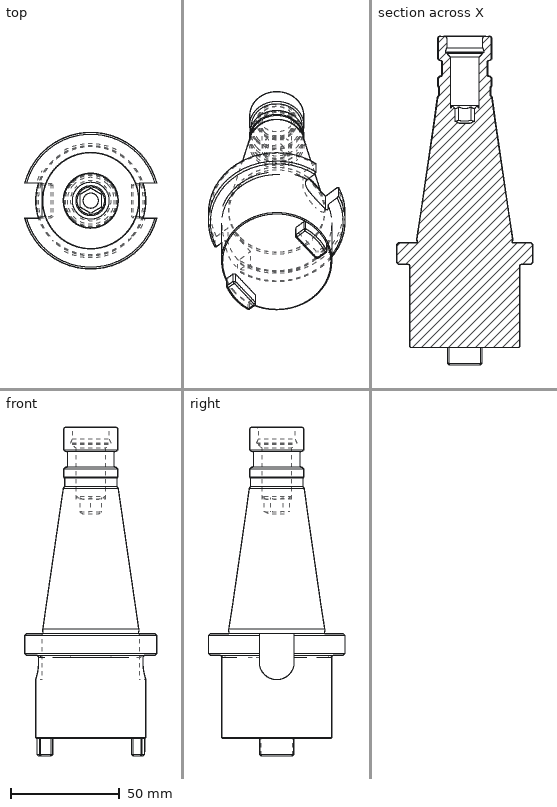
import cadquery as cq
import math


GAUGE_RADIUS = 44.45 / 2
TAPER_SLOPE = 7 / 48
TAPER_TOP_Z = 65.2
TAPER_SMALL_RADIUS = GAUGE_RADIUS - TAPER_SLOPE * TAPER_TOP_Z
GAUGE_BAND_TOP_Z = 0.6
GAUGE_BAND_BOTTOM_Z = -0.4
GAUGE_RELIEF = 0.2
GAUGE_RELIEF_HEIGHT = 0.7

TOP_Z = 93.4
COLLAR_RADIUS = 12.5
TOP_COLLAR_BOTTOM_Z = 82.2
TOP_EDGE_FILLET = 1.0
COLLAR_CHAMFER = 0.8
GROOVE_NECK_RADIUS = 10.8
GROOVE_NECK_FILLET = 0.4
LOWER_COLLAR_TOP_Z = 75.0
LOWER_COLLAR_BOTTOM_Z = 70.0
LOWER_COLLAR_CHAMFER = 0.4
LOWER_NECK_RADIUS = 12.1
LOWER_NECK_BEVEL_HEIGHT = 0.9

FLANGE_RADIUS = 31.5
FLANGE_TOP_Z = -1.6
FLANGE_THICKNESS = 10.0
FLANGE_BOTTOM_Z = FLANGE_TOP_Z - FLANGE_THICKNESS
FLANGE_CHAMFER = 0.9
BODY_RADIUS = 25.4
BODY_BOTTOM_Z = -50.0
BODY_CHAMFER = 0.5
BODY_ROOT_FILLET = 0.9

SLOT_WIDTH = 16.1
SLOT_FLOOR_X = 22.5
SLOT_BOTTOM_Z = -22.8

KEY_WIDTH = 16.0
KEY_HEIGHT = 8.0
KEY_OUTER_RADIUS = 24.9
KEY_CHAMFER = 0.8
KEY_OUTER_CHAMFER = 0.4
LEFT_KEY_INNER_X = 17.4
RIGHT_KEY_INNER_X = 18.7

COUNTERBORE_RADIUS = 8.5
COUNTERBORE_DEPTH = 8.0
RING_GROOVE_RADIUS = 9.3
RING_GROOVE_TOP_DEPTH = 5.4
RING_GROOVE_FLARE = 1.8
RING_GROOVE_RETURN = 0.4
THREAD_RADIUS = 6.9
THREAD_DEPTH = 32.0
PLUG_RIM_RADIUS = 6.3
PLUG_CHAMFER_HEIGHT = 1.0
HEX_ACROSS_FLATS = 10.0
HEX_APOTHEM = HEX_ACROSS_FLATS / 2
HEX_TURN = 30
HEX_DEPTH = 8.0
HEX_FLOOR_RADIUS = 3.5
HEX_FLOOR_CONE_SLOPE = math.tan(math.radians(30))


def make_turned_body():
    """Revolve the outer outline, from the top face down to the body end."""
    return (
        cq.Workplane("XZ")
        .moveTo(0, TOP_Z)
        .lineTo(COLLAR_RADIUS - TOP_EDGE_FILLET, TOP_Z)
        .radiusArc((COLLAR_RADIUS, TOP_Z - TOP_EDGE_FILLET), TOP_EDGE_FILLET)
        .lineTo(COLLAR_RADIUS, TOP_COLLAR_BOTTOM_Z + COLLAR_CHAMFER)
        .lineTo(COLLAR_RADIUS - COLLAR_CHAMFER, TOP_COLLAR_BOTTOM_Z)
        .lineTo(GROOVE_NECK_RADIUS + GROOVE_NECK_FILLET, TOP_COLLAR_BOTTOM_Z)
        .radiusArc((GROOVE_NECK_RADIUS, TOP_COLLAR_BOTTOM_Z - GROOVE_NECK_FILLET), -GROOVE_NECK_FILLET)
        .lineTo(GROOVE_NECK_RADIUS, LOWER_COLLAR_TOP_Z + GROOVE_NECK_FILLET)
        .radiusArc((GROOVE_NECK_RADIUS + GROOVE_NECK_FILLET, LOWER_COLLAR_TOP_Z), -GROOVE_NECK_FILLET)
        .lineTo(COLLAR_RADIUS - COLLAR_CHAMFER, LOWER_COLLAR_TOP_Z)
        .lineTo(COLLAR_RADIUS, LOWER_COLLAR_TOP_Z - COLLAR_CHAMFER)
        .lineTo(COLLAR_RADIUS, LOWER_COLLAR_BOTTOM_Z + LOWER_COLLAR_CHAMFER)
        .lineTo(LOWER_NECK_RADIUS, LOWER_COLLAR_BOTTOM_Z)
        .lineTo(LOWER_NECK_RADIUS, TAPER_TOP_Z + LOWER_NECK_BEVEL_HEIGHT)
        .lineTo(TAPER_SMALL_RADIUS, TAPER_TOP_Z)
        .lineTo(GAUGE_RADIUS - TAPER_SLOPE * GAUGE_BAND_TOP_Z, GAUGE_BAND_TOP_Z)
        .lineTo(GAUGE_RADIUS, GAUGE_BAND_TOP_Z)
        .lineTo(GAUGE_RADIUS, GAUGE_BAND_BOTTOM_Z)
        .lineTo(GAUGE_RADIUS - GAUGE_RELIEF, GAUGE_BAND_BOTTOM_Z - GAUGE_RELIEF_HEIGHT)
        .lineTo(GAUGE_RADIUS - GAUGE_RELIEF, FLANGE_TOP_Z)
        .lineTo(FLANGE_RADIUS - FLANGE_CHAMFER, FLANGE_TOP_Z)
        .lineTo(FLANGE_RADIUS, FLANGE_TOP_Z - FLANGE_CHAMFER)
        .lineTo(FLANGE_RADIUS, FLANGE_BOTTOM_Z + FLANGE_CHAMFER)
        .lineTo(FLANGE_RADIUS - FLANGE_CHAMFER, FLANGE_BOTTOM_Z)
        .lineTo(BODY_RADIUS + BODY_ROOT_FILLET, FLANGE_BOTTOM_Z)
        .radiusArc((BODY_RADIUS, FLANGE_BOTTOM_Z - BODY_ROOT_FILLET), -BODY_ROOT_FILLET)
        .lineTo(BODY_RADIUS, BODY_BOTTOM_Z + BODY_CHAMFER)
        .lineTo(BODY_RADIUS - BODY_CHAMFER, BODY_BOTTOM_Z)
        .lineTo(0, BODY_BOTTOM_Z)
        .close()
        .revolve(360, (0, 0, 0), (0, 1, 0))
    )


def make_drive_slot(side):
    """Round-ended slot cut inward from the +X (side 1) or -X (side -1) rim."""
    half_width = SLOT_WIDTH / 2
    arc_center_z = SLOT_BOTTOM_Z + half_width
    outline = (
        cq.Workplane("YZ", origin=(side * SLOT_FLOOR_X, 0, 0))
        .moveTo(-half_width, FLANGE_TOP_Z)
        .lineTo(-half_width, arc_center_z)
        .threePointArc((0, SLOT_BOTTOM_Z), (half_width, arc_center_z))
        .lineTo(half_width, FLANGE_TOP_Z)
        .close()
    )
    return outline.extrude(side * FLANGE_RADIUS)


def make_drive_key(side, inner_x):
    """Key with a flat inner face and a round outer face, chamfered on its free edges."""
    key_length = KEY_OUTER_RADIUS - inner_x
    key_center = (side * (inner_x + key_length / 2), 0, BODY_BOTTOM_Z - KEY_HEIGHT / 2)
    block = cq.Workplane("XY", origin=key_center).box(key_length, KEY_WIDTH, KEY_HEIGHT)
    round_bar = (
        cq.Workplane("XY", origin=(0, 0, BODY_BOTTOM_Z))
        .circle(KEY_OUTER_RADIUS)
        .extrude(-KEY_HEIGHT)
    )
    key = block.intersect(round_bar)
    inner_face, outer_side = ("<X", ">X") if side > 0 else (">X", "<X")
    key = key.edges("|Z").edges(outer_side).chamfer(KEY_OUTER_CHAMFER)
    key = key.faces(inner_face).edges("|Z").chamfer(KEY_CHAMFER)
    return key.faces("<Z").edges().chamfer(KEY_CHAMFER)


def make_bore():
    """Revolve the counterbore, its ring groove, the threaded hole and the plug recess."""
    counterbore_z = TOP_Z - COUNTERBORE_DEPTH
    thread_bottom_z = TOP_Z - THREAD_DEPTH
    groove_top_z = TOP_Z - RING_GROOVE_TOP_DEPTH
    groove_crest_z = groove_top_z - RING_GROOVE_FLARE
    groove_bottom_z = groove_crest_z - RING_GROOVE_RETURN
    countersink_bottom_z = thread_bottom_z - (PLUG_RIM_RADIUS - HEX_APOTHEM)
    return (
        cq.Workplane("XZ")
        .moveTo(0, TOP_Z)
        .lineTo(COUNTERBORE_RADIUS + TOP_EDGE_FILLET, TOP_Z)
        .radiusArc((COUNTERBORE_RADIUS, TOP_Z - TOP_EDGE_FILLET), -TOP_EDGE_FILLET)
        .lineTo(COUNTERBORE_RADIUS, groove_top_z)
        .lineTo(RING_GROOVE_RADIUS, groove_crest_z)
        .lineTo(COUNTERBORE_RADIUS, groove_bottom_z)
        .lineTo(COUNTERBORE_RADIUS, counterbore_z)
        .lineTo(THREAD_RADIUS, counterbore_z - (COUNTERBORE_RADIUS - THREAD_RADIUS))
        .lineTo(THREAD_RADIUS, thread_bottom_z - PLUG_CHAMFER_HEIGHT)
        .lineTo(PLUG_RIM_RADIUS, thread_bottom_z)
        .lineTo(HEX_APOTHEM, countersink_bottom_z)
        .lineTo(0, countersink_bottom_z)
        .close()
        .revolve(360, (0, 0, 0), (0, 1, 0))
    )


def make_hex_socket():
    """Hexagonal socket with two flats facing X and a coned floor."""
    corner_radius = HEX_APOTHEM / math.cos(math.pi / 6)
    rim_z = TOP_Z - THREAD_DEPTH
    cone_height = (corner_radius - HEX_FLOOR_RADIUS) * HEX_FLOOR_CONE_SLOPE
    floor_z = rim_z - HEX_DEPTH
    prism = (
        cq.Workplane("XY", origin=(0, 0, floor_z))
        .polygon(6, 2 * corner_radius)
        .extrude(HEX_DEPTH)
        .rotate((0, 0, 0), (0, 0, 1), HEX_TURN)
    )
    envelope = (
        cq.Workplane("XZ")
        .moveTo(0, floor_z)
        .lineTo(HEX_FLOOR_RADIUS, floor_z)
        .lineTo(corner_radius, floor_z + cone_height)
        .lineTo(corner_radius, rim_z)
        .lineTo(0, rim_z)
        .close()
        .revolve(360, (0, 0, 0), (0, 1, 0))
    )
    return prism.intersect(envelope)


result = make_turned_body()
for side in (-1, 1):
    result = result.cut(make_drive_slot(side))
for side, inner_x in ((-1, LEFT_KEY_INNER_X), (1, RIGHT_KEY_INNER_X)):
    result = result.union(make_drive_key(side, inner_x))
result = result.cut(make_bore()).cut(make_hex_socket())